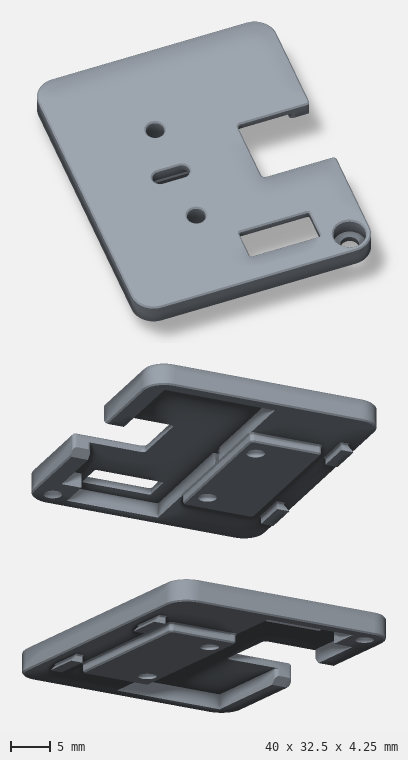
import cadquery as cq
PLATE_X = 40.0
PLATE_Y = 32.5
PLATE_Z = 3.0
PLATE_CORNER_R = 3.0
EDGE_CHAMFER = 0.2

NOTCH_X = 9.2
NOTCH_DEPTH = 10.0
NOTCH_FLOOR_Y = PLATE_Y / 2 - NOTCH_DEPTH
NOTCH_CORNER_R = 0.5

SHEET_Z = 1.0
CAVITY_Z = PLATE_Z - SHEET_Z
SIDE_RIM = 1.8
BACK_RIM = 2.5
RIM_END_R = 0.5
RIM_END_CHAMFER = 1.0
CAVITY_X = PLATE_X - 2 * SIDE_RIM
CAVITY_MAX_Y = PLATE_Y / 2 - BACK_RIM

PAD_X = 21.5
PAD_Y = 10.0
PAD_Z = 1.25
PAD_CENTER_Y = -6.75
PAD_CORNER_R = 0.5
PAD_MAX_Y = PAD_CENTER_Y + PAD_Y / 2
ROOT_FLARE = 0.2
FLARE_ANGLE = 45.0
CAVITY_MIN_Y = PAD_MAX_Y

SCREW_X = 17.2
SCREW_Y = 13.45
SCREW_D = 2.4
SCREW_HEAD_D = 4.2
SCREW_HEAD_DEPTH = 2.2
BLOCK_MIN_X = 13.8
BLOCK_MIN_Y = 11.0

PAD_HOLE_D = 2.4
PAD_HOLE_X = 7.5
PAD_HOLE_Y = -3.85

WINDOW_X = 4.2
WINDOW_Y = 9.6
WINDOW_CENTER_X = 14.1
WINDOW_CENTER_Y = 5.05
WINDOW_CORNER_R = 0.25

SLOT_X = 2.0
SLOT_Y = 5.0
SLOT_CENTER_Y = -4.5
SLOT_FLOOR_Z = 1.2
CHANNEL_INSET = 0.2
CHANNEL_FLOOR_Z = 0.0

HOOK_X = 5.0
HOOK_CENTER_X = 10.0
HOOK_BACK_Y = -13.65
HOOK_STEM_Y = -14.6
HOOK_Z = 1.0
HOOK_NECK_Z = 0.25
HOOK_TIP_Y = HOOK_STEM_Y - (HOOK_Z - HOOK_NECK_Z)


def box_between(x_range, y_range, z_range):
    """Axis-aligned box from its limits along each axis."""
    size = [high - low for low, high in (x_range, y_range, z_range)]
    corner = cq.Vector(x_range[0], y_range[0], z_range[0])
    return cq.Workplane("XY").box(*size, centered=False).translate(corner)


def chamfered_opening(outline, x, y, bottom_z):
    """Cutter with a sketched outline, running up to the top face and opening at 45 degrees there."""
    shaft = cq.Workplane("XY", origin=(x, y, bottom_z)).placeSketch(outline).extrude(PLATE_Z - bottom_z)
    mouth = cq.Workplane("XY", origin=(x, y, PLATE_Z - EDGE_CHAMFER)).placeSketch(outline)
    return shaft.union(mouth.extrude(EDGE_CHAMFER, taper=-FLARE_ANGLE))


def round_opening(x, y, diameter, bottom_z):
    """Chamfered round cutter."""
    return chamfered_opening(cq.Sketch().circle(diameter / 2), x, y, bottom_z)


def make_plate():
    """Rounded plate with the notch, chamfered around both faces."""
    plate = box_between((-PLATE_X / 2, PLATE_X / 2), (-PLATE_Y / 2, PLATE_Y / 2), (0, PLATE_Z))
    plate = plate.edges("|Z").fillet(PLATE_CORNER_R)
    notch = box_between((-NOTCH_X / 2, NOTCH_X / 2), (NOTCH_FLOOR_Y, PLATE_Y / 2), (0, PLATE_Z))
    plate = plate.cut(notch)
    notch_zone = cq.selectors.BoxSelector(
        (-NOTCH_X, NOTCH_FLOOR_Y - NOTCH_CORNER_R, 0), (NOTCH_X, PLATE_Y, PLATE_Z)
    )
    plate = plate.edges("|Z").edges(notch_zone).fillet(NOTCH_CORNER_R)
    return plate.faces("<Z or >Z").chamfer(EDGE_CHAMFER)


def make_rim_end_bevel():
    """Wedge-sided cutter that bevels the lower edge of both rim ends beside the notch."""
    top_half = NOTCH_X / 2
    bottom_half = top_half + RIM_END_CHAMFER
    outline = [
        (-bottom_half, 0),
        (bottom_half, 0),
        (top_half, RIM_END_CHAMFER),
        (-top_half, RIM_END_CHAMFER),
    ]
    bevel = cq.Workplane("XZ", origin=(0, PLATE_Y / 2, 0)).polyline(outline).close()
    return bevel.extrude(NOTCH_DEPTH)


def make_cavity():
    """Space under the top sheet, without the corner screw block and with rounded rim ends at the notch."""
    z_range = (0, CAVITY_Z)
    cavity = box_between((-CAVITY_X / 2, CAVITY_X / 2), (CAVITY_MIN_Y, CAVITY_MAX_Y), z_range)
    block = box_between((BLOCK_MIN_X, PLATE_X / 2), (BLOCK_MIN_Y, PLATE_Y / 2), z_range)
    cavity = cavity.cut(block)
    passage = box_between((-NOTCH_X / 2, NOTCH_X / 2), (NOTCH_FLOOR_Y, PLATE_Y / 2), z_range)
    cavity = cavity.union(passage)
    for side in (-1, 1):
        rim_corner = cq.selectors.NearestToPointSelector(
            (side * NOTCH_X / 2, CAVITY_MAX_Y, CAVITY_Z / 2)
        )
        cavity = cavity.edges("|Z").edges(rim_corner).fillet(RIM_END_R)
    return cavity.union(make_rim_end_bevel())


def make_pad():
    """Pad with rounded corners, a chamfered lower edge and a root that flares into the plate."""
    pad = cq.Workplane("XY").center(0, PAD_CENTER_Y).rect(PAD_X, PAD_Y).extrude(-PAD_Z)
    pad = pad.edges("|Z").fillet(PAD_CORNER_R)
    flare = pad.faces(">Z").wires().toPending().extrude(ROOT_FLARE, taper=-FLARE_ANGLE, combine=False)
    pad = pad.faces("<Z").chamfer(EDGE_CHAMFER)
    return pad.union(flare.translate((0, 0, -ROOT_FLARE)))


def make_hook(center_x):
    """Snap hook whose 45 degree tip points toward -Y, flared at the root on its sides and back."""
    profile = [
        (HOOK_BACK_Y, 0),
        (HOOK_STEM_Y, 0),
        (HOOK_STEM_Y, -HOOK_NECK_Z),
        (HOOK_TIP_Y, -HOOK_Z),
        (HOOK_BACK_Y, -HOOK_Z),
    ]
    hook = cq.Workplane("YZ").polyline(profile).close().extrude(HOOK_X / 2, both=True)
    stem_y = HOOK_BACK_Y - HOOK_STEM_Y
    stem_center_y = (HOOK_BACK_Y + HOOK_STEM_Y) / 2
    flare = cq.Workplane("XY", origin=(0, stem_center_y, -ROOT_FLARE)).rect(HOOK_X, stem_y)
    flare = flare.extrude(ROOT_FLARE, taper=-FLARE_ANGLE)
    front_trim = box_between((-HOOK_X, HOOK_X), (HOOK_TIP_Y, HOOK_STEM_Y), (-ROOT_FLARE, 0))
    return hook.union(flare.cut(front_trim)).translate((center_x, 0, 0))


def make_window():
    """Chamfered rectangular window with slightly rounded corners."""
    outline = cq.Sketch().rect(WINDOW_X, WINDOW_Y).vertices().fillet(WINDOW_CORNER_R)
    return chamfered_opening(outline, WINDOW_CENTER_X, WINDOW_CENTER_Y, 0)


def groove_outline(width):
    """Groove with a round -Y end, concentric with that end of the slot, and open to the cavity at +Y."""
    round_end_y = SLOT_CENTER_Y - (SLOT_Y - SLOT_X) / 2
    length = CAVITY_MIN_Y - round_end_y
    straight = cq.Location(cq.Vector(0, round_end_y + length / 2, 0))
    end = cq.Location(cq.Vector(0, round_end_y, 0))
    return cq.Sketch().push([straight]).rect(width, length).reset().push([end]).circle(width / 2).clean()


def make_slot():
    """Slot in the top face, stepping with a chamfer to a narrower channel; both open into the cavity."""
    outline = cq.Sketch().slot(SLOT_Y - SLOT_X, SLOT_X, angle=90)
    slot = chamfered_opening(outline, 0, SLOT_CENTER_Y, SLOT_FLOOR_Z)
    wide = groove_outline(SLOT_X)
    narrow = groove_outline(SLOT_X - 2 * CHANNEL_INSET)
    wide_groove = cq.Workplane("XY", origin=(0, 0, SLOT_FLOOR_Z)).placeSketch(wide)
    channel = cq.Workplane("XY", origin=(0, 0, CHANNEL_FLOOR_Z)).placeSketch(narrow)
    lead_in = cq.Workplane("XY", origin=(0, 0, SLOT_FLOOR_Z - CHANNEL_INSET)).placeSketch(narrow)
    slot = slot.union(wide_groove.extrude(CAVITY_Z - SLOT_FLOOR_Z))
    slot = slot.union(channel.extrude(SLOT_FLOOR_Z - CHANNEL_FLOOR_Z))
    return slot.union(lead_in.extrude(CHANNEL_INSET, taper=-FLARE_ANGLE))


def make_screw_hole():
    """Counterbored corner hole."""
    shaft = cq.Workplane("XY").center(SCREW_X, SCREW_Y).circle(SCREW_D / 2).extrude(PLATE_Z)
    head = round_opening(SCREW_X, SCREW_Y, SCREW_HEAD_D, PLATE_Z - SCREW_HEAD_DEPTH)
    return shaft.union(head)


body = make_plate().union(make_pad())
for side in (-1, 1):
    body = body.union(make_hook(side * HOOK_CENTER_X))
body = body.cut(make_cavity()).cut(make_window()).cut(make_slot()).cut(make_screw_hole())
for side in (-1, 1):
    body = body.cut(round_opening(side * PAD_HOLE_X, PAD_HOLE_Y, PAD_HOLE_D, -PAD_Z))
result = body